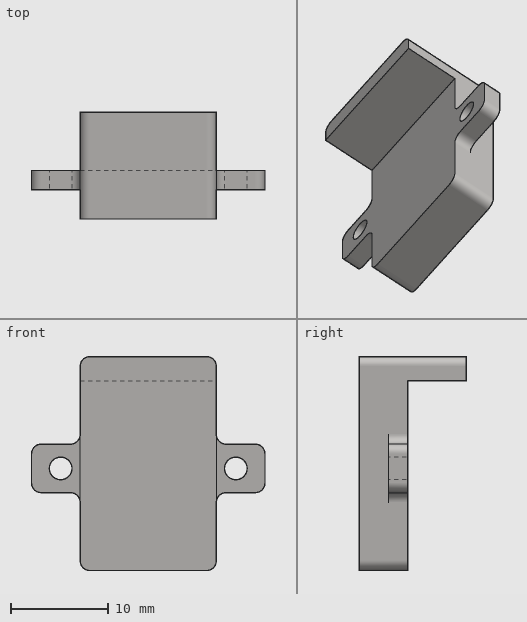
import cadquery as cq

body_width = 14.0
body_depth = 5.0
body_height = 22.0
corner_radius = 1.0

total_depth = 11.0
lip_thickness = 2.5

overall_width = 24.0
ear_height = 5.0
ear_thickness = 2.0
ear_center_z = 10.5
ear_corner_radius = 1.0
ear_root_radius = 1.0
hole_diameter = 2.3
hole_spacing = 18.0


def box_between(width, y_front, y_back, z_bottom, z_top):
    """Box centred on x = 0 between the given y and z limits."""
    return (
        cq.Workplane("XY")
        .box(width, y_back - y_front, z_top - z_bottom, centered=(True, False, False))
        .translate((0, y_front, z_bottom))
    )


def make_housing():
    """Block with the overhanging lip, rounded along its four long corners."""
    envelope = box_between(body_width, 0, total_depth, 0, body_height)
    rounded = envelope.edges("|Y").fillet(corner_radius)
    space_under_lip = box_between(
        body_width, body_depth, total_depth, 0, body_height - lip_thickness
    )
    return rounded.cut(space_under_lip)


def make_ears():
    """One rounded strip across the block whose two ends form the ears."""
    return box_between(
        overall_width,
        body_depth - ear_thickness,
        body_depth,
        ear_center_z - ear_height / 2,
        ear_center_z + ear_height / 2,
    ).edges("|Y").fillet(ear_corner_radius)


def make_root_fillet(x_side, z_side):
    """Concave fillet between one ear edge and the side of the block."""
    root_x = x_side * body_width / 2
    root_z = z_side * ear_height / 2
    outer_x = root_x + x_side * ear_root_radius
    outer_z = root_z + z_side * ear_root_radius
    corner = (
        cq.Workplane("XZ")
        .moveTo((root_x + outer_x) / 2, (root_z + outer_z) / 2)
        .rect(ear_root_radius, ear_root_radius)
        .extrude(-ear_thickness)
    )
    round_cut = (
        cq.Workplane("XZ")
        .moveTo(outer_x, outer_z)
        .circle(ear_root_radius)
        .extrude(-ear_thickness)
    )
    return corner.cut(round_cut).translate((0, body_depth - ear_thickness, ear_center_z))


def make_ear_holes():
    """Screw holes through both ears along Y."""
    return (
        cq.Workplane("XZ")
        .pushPoints([(-hole_spacing / 2, ear_center_z), (hole_spacing / 2, ear_center_z)])
        .circle(hole_diameter / 2)
        .extrude(-body_depth)
    )


result = make_housing().union(make_ears())
for x_side in (-1, 1):
    for z_side in (-1, 1):
        result = result.union(make_root_fillet(x_side, z_side))
result = result.cut(make_ear_holes())